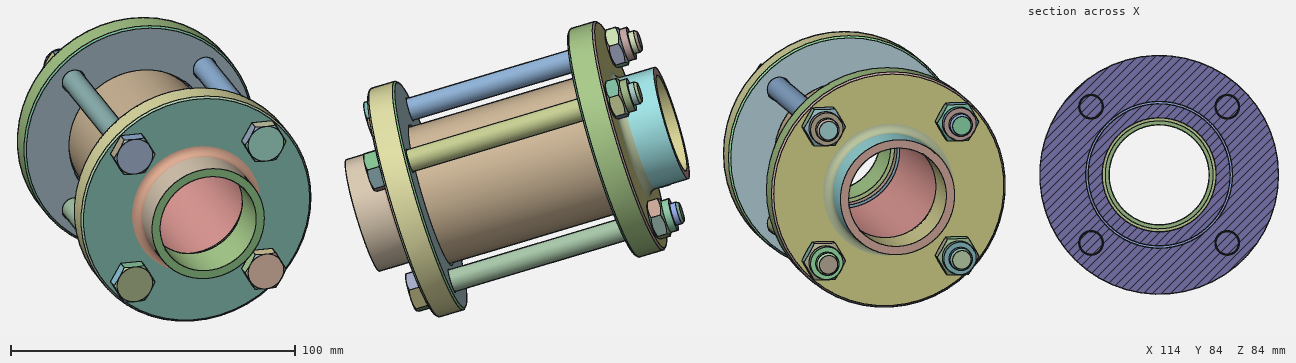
import cadquery as cq
import math

length = 114.0
flange_start = 15.0
flange_thickness = 10.0
flange_end = flange_start + flange_thickness

flange_diameter = 84.0
flange_chamfer = 0.7
neck_diameter = 41.0
neck_bore = 35.1
neck_fillet = 3.0
counterbore_diameter = 38.0
counterbore_start = 18.0

tube_diameter = 50.0
tube_bore = 40.0
recess_diameter = 51.5
recess_depth = 3.0

bolt_offset = 23.9
bolt_diameter = 8.0
bolt_hole = 8.5
bolt_tip = 4.0
bolt_chamfer = 0.7
bolt_chamfer_length = 1.0
hex_flats = 13.0
hex_corners = hex_flats / math.cos(math.radians(30))
hex_chamfer_angle = 30
head_thickness = 5.0
nut_seat_diameter = 11.6
nut_body_thickness = 5.4
collar_diameter = 11.6
collar_start = 7.1
bolt_places = [(y, z) for y in (-bolt_offset, bolt_offset) for z in (-bolt_offset, bolt_offset)]


def cylinder(diameter, start, end):
    """Solid cylinder on the X axis between two X positions."""
    return cq.Workplane("YZ").workplane(offset=start).circle(diameter / 2).extrude(end - start)


def revolve_profile(points):
    """Revolve a closed (x, radius) outline about the X axis."""
    return cq.Workplane("XY").polyline(points).close().revolve(360, (0, 0), (1, 0))


def make_flange():
    """Left flange: neck blended into a chamfered disc, stepped bore and tube recess."""
    disc = cylinder(flange_diameter, flange_start, flange_end).edges().chamfer(flange_chamfer)
    neck_radius = neck_diameter / 2
    blend_start = flange_start - neck_fillet
    blend_radius = neck_radius + neck_fillet
    arc_reach = neck_fillet * math.sqrt(0.5)
    neck = (
        cq.Workplane("XY")
        .moveTo(0, 0)
        .lineTo(0, neck_radius)
        .lineTo(blend_start, neck_radius)
        .threePointArc(
            (blend_start + arc_reach, blend_radius - arc_reach),
            (flange_start, blend_radius),
        )
        .lineTo(flange_end, blend_radius)
        .lineTo(flange_end, 0)
        .close()
        .revolve(360, (0, 0), (1, 0))
    )
    flange = disc.union(neck)
    flange = flange.cut(cylinder(neck_bore, 0, flange_end))
    flange = flange.cut(cylinder(counterbore_diameter, counterbore_start, flange_end))
    flange = flange.cut(cylinder(recess_diameter, flange_end - recess_depth, flange_end))
    hole = cylinder(bolt_hole, flange_start, flange_end)
    for y, z in bolt_places:
        flange = flange.cut(hole.translate((0, y, z)))
    return flange


def make_tube():
    """Plain tube seated on the floors of the two flange recesses."""
    start = flange_end - recess_depth
    end = length - start
    return cylinder(tube_diameter, start, end).cut(cylinder(tube_bore, start, end))


def make_hex(start, end):
    """Hexagonal prism along X, with corners pointing along Y."""
    return cq.Workplane("YZ").workplane(offset=start).polygon(6, hex_corners).extrude(end - start)


def corner_cutter(face, face_diameter, inward):
    """Conical ring that turns hexagon corners down to a circle on one end face.

    The inward direction is +1 or -1 along X, from the face into the material.
    """
    inner_radius = face_diameter / 2
    outer_radius = hex_corners
    depth = (outer_radius - inner_radius) * math.tan(math.radians(hex_chamfer_angle))
    return revolve_profile([
        (face, inner_radius),
        (face, outer_radius),
        (face + inward * depth, outer_radius),
    ])


def make_bolt():
    """One bolt on the X axis with its nut on the left and its head on the right."""
    radius = bolt_diameter / 2
    right_face = length - flange_start
    shank = revolve_profile([
        (bolt_tip, 0),
        (bolt_tip, radius - bolt_chamfer),
        (bolt_tip + bolt_chamfer_length, radius),
        (right_face, radius),
        (right_face, 0),
    ])
    nut_start = flange_start - nut_body_thickness
    nut = make_hex(nut_start, flange_start)
    nut = nut.cut(corner_cutter(nut_start, collar_diameter, 1))
    nut = nut.cut(corner_cutter(flange_start, nut_seat_diameter, -1))
    collar = cylinder(collar_diameter, collar_start, nut_start)
    head_end = right_face + head_thickness
    head = make_hex(right_face, head_end).cut(corner_cutter(head_end, hex_flats, -1))
    return shank.union(nut).union(collar).union(head)


left_flange = make_flange()
right_flange = left_flange.mirror("YZ").translate((length, 0, 0))
result = left_flange.union(right_flange).union(make_tube())
bolt = make_bolt()
for y, z in bolt_places:
    result = result.union(bolt.translate((0, y, z)))